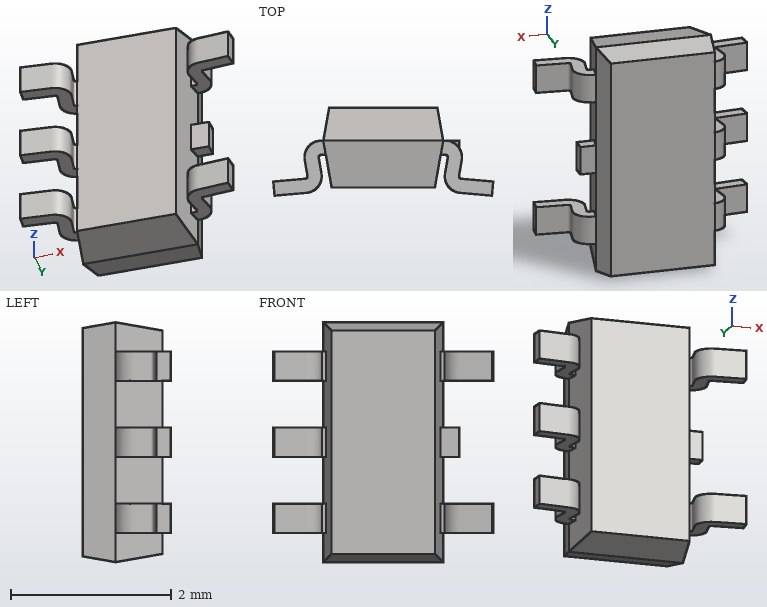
import cadquery as cq
import math


housing_length = 3.0
housing_width = housing_length / 2
upper_height = 0.41
lower_height = 0.588
draft_angle = 10.0
draft_slope = math.tan(math.radians(draft_angle))

lead_thickness = 0.18
lead_width = 0.37
lead_pitch = 0.95
lead_span = 2.75
standoff = 0.102
foot_angle = 5.0
foot_length = 0.402
bend_inner_radius = 0.03
bend_outer_radius = bend_inner_radius + lead_thickness
shank_angle = draft_angle
stub_reach = 0.95

lead_root_top = (housing_width / 2, 0)
lead_root_bottom = (housing_width / 2 - lead_thickness * draft_slope, -lead_thickness)


def polar(center, radius, angle):
    """Point at the given radius and angle in degrees around a center."""
    turn = math.radians(angle)
    return (center[0] + radius * math.cos(turn), center[1] + radius * math.sin(turn))


def make_housing_half(height, side):
    """Drafted block from the parting plane; side is +1 toward +Y, -1 toward -Y."""
    return (
        cq.Workplane("XZ")
        .rect(housing_width, housing_length)
        .extrude(-side * height, taper=draft_angle)
    )


def extrude_lead(profile, z):
    """Extrude an XY lead profile by the lead width, centered on height z."""
    return profile.extrude(lead_width / 2, both=True).translate((0, 0, z))


def make_lead(z):
    """Gull-wing lead on the +X side: flat root, bend, shank, bend and foot."""
    foot_normal = 90 - foot_angle
    shank_normal = -shank_angle

    toe_setback = lead_thickness * math.sin(math.radians(foot_angle))
    toe_bottom = (lead_span / 2 - toe_setback, -lower_height - standoff)
    toe_top = polar(toe_bottom, lead_thickness, foot_normal)
    heel = polar(toe_bottom, foot_length, 180 - foot_angle)

    lower_center = polar(heel, bend_outer_radius, foot_normal)
    upper_center_y = -bend_outer_radius
    drop = upper_center_y - lower_center[1]
    shank = math.radians(shank_angle)
    center_gap = bend_inner_radius + bend_outer_radius
    upper_center_x = lower_center[0] - (center_gap - drop * math.sin(shank)) / math.cos(shank)
    upper_center = (upper_center_x, upper_center_y)

    upper_middle = (90 + shank_normal) / 2
    lower_start = 180 + shank_normal
    lower_end = 180 + foot_normal
    lower_middle = (lower_start + lower_end) / 2

    profile = (
        cq.Workplane("XY")
        .moveTo(*lead_root_top)
        .lineTo(*polar(upper_center, bend_outer_radius, 90))
        .threePointArc(
            polar(upper_center, bend_outer_radius, upper_middle),
            polar(upper_center, bend_outer_radius, shank_normal),
        )
        .lineTo(*polar(lower_center, bend_inner_radius, lower_start))
        .threePointArc(
            polar(lower_center, bend_inner_radius, lower_middle),
            polar(lower_center, bend_inner_radius, lower_end),
        )
        .lineTo(*toe_top)
        .lineTo(*toe_bottom)
        .lineTo(*heel)
        .threePointArc(
            polar(lower_center, bend_outer_radius, lower_middle),
            polar(lower_center, bend_outer_radius, lower_start),
        )
        .lineTo(*polar(upper_center, bend_inner_radius, shank_normal))
        .threePointArc(
            polar(upper_center, bend_inner_radius, upper_middle),
            polar(upper_center, bend_inner_radius, 90),
        )
        .lineTo(*lead_root_bottom)
        .close()
    )
    return extrude_lead(profile, z)


def make_stub(z):
    """Straight lead cut off short of its first bend, on the +X side."""
    profile = cq.Workplane("XY").polyline(
        [lead_root_top, (stub_reach, 0), (stub_reach, -lead_thickness), lead_root_bottom]
    ).close()
    return extrude_lead(profile, z)


upper_housing = make_housing_half(upper_height, 1)
lower_housing = make_housing_half(lower_height, -1)

right_leads = [make_lead(z) for z in (-lead_pitch, lead_pitch)]
stub = make_stub(0)

left_leads = [make_lead(z).rotate((0, 0, 0), (0, 1, 0), 180) for z in (-lead_pitch, 0, lead_pitch)]

leads = right_leads + left_leads
result = cq.Compound.makeCompound(
    [upper_housing.val(), lower_housing.val(), stub.val(), *[lead.val() for lead in leads]]
)